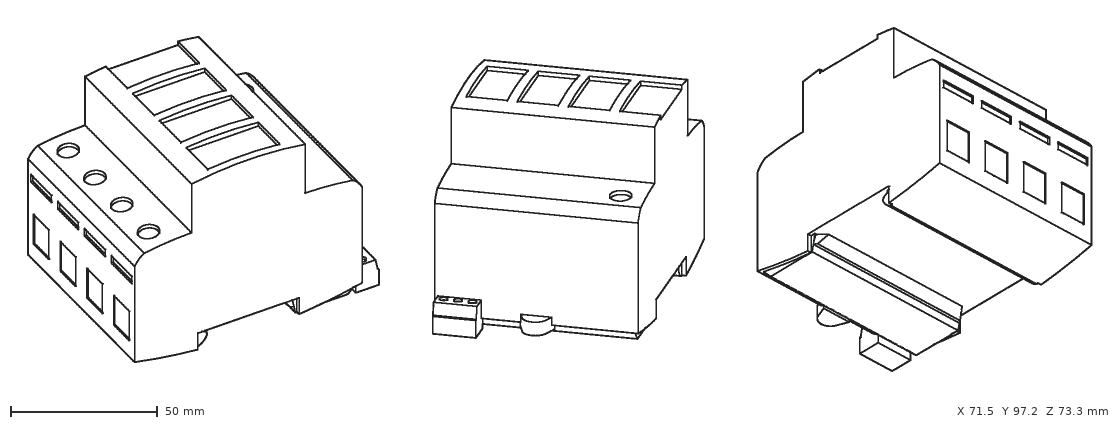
import cadquery as cq
import math

WIDTH = 71.5
DEPTH = 89.9
MID_Y = DEPTH / 2
MID_X = WIDTH / 2

FOOT_Z = 0.34
WALL_BOTTOM_Z = 4.4
WALL_TOP_Z = 44.9
SHOULDER_INSET = 3.8
SHOULDER_OUTER_Z = 49.1
SHOULDER_INNER_Z = 50.7
TOWER_EDGE_Z = 71.3
CROWN_Z = 73.3
TOWER_DEPTH = 44.9
CHANNEL_DEPTH = 39.95
CHANNEL_Z = 7.3

BOTTOM_BULGE = 0.4
BEVEL_BULGE = 0.4
SHOULDER_BULGE = 0.4

CHANNEL_FRONT_Y = MID_Y - CHANNEL_DEPTH / 2
TOWER_FRONT_Y = MID_Y - TOWER_DEPTH / 2

MODULES = 4
MODULE_PITCH = 18.0
FIRST_TERMINAL_X = MID_X - MODULE_PITCH * (MODULES - 1) / 2
TERMINAL_XS = [FIRST_TERMINAL_X + i * MODULE_PITCH for i in range(MODULES)]

SCREW_HOLE_DIAMETER = 7.6
SCREW_HOLE_DEPTH = 1.5
SCREW_HOLE_INSET = 10.7
BACK_SCREW_HOLE_INSET = 10.4

SLOT_WIDTH = 13.9
SLOT_BOTTOM_Z = 36.45
SLOT_TOP_Z = 39.5
SLOT_DEPTH = 0.8
WIRE_POCKET_WIDTH = 10.4
WIRE_POCKET_BOTTOM_Z = 11.3
WIRE_POCKET_TOP_Z = 23.7
WIRE_POCKET_DEPTH = 0.5

WINDOW_WIDTH = 14.5
WINDOW_LENGTH = 28.5
WINDOW_FLOOR_Z = 71.0
FIRST_WINDOW_X = 0

LATCH_INSET = 1.5
LATCH_WIDTH = WIDTH - 2 * LATCH_INSET

CLIP_NECK_Y = 27.4
CLIP_NECK_Z = 6.3
CLIP_NOSE_TOP = (29.3, 5.3)
CLIP_NOSE = (29.55, 4.3)
CLIP_BELLY = (27.6, 1.5)
CLIP_HEEL_Y = 25.7

LATCH_FACE_TOP_Y = 63.0
LATCH_FACE_BOTTOM_Y = 64.3
SLIDE_BOTTOM_BACK_Y = 85.05
SLIDE_BACK_Z = 3.8
HOOK_TAPER_Y = 63.7
HOOK_TIP_Y = 59.3
HOOK_TIP_Z = 6.4
HOOK_CREST = (61.8, 6.9)
HOOK_CHIN = (62.5, 3.1)
HOOK_ROOT_Z = 3.2
HOOK_ROOT_Y = 64.6
HOOK_TAPER = 2.9

TAB_BOTTOM_Z = 2.3
TAB_TOP_Z = CHANNEL_Z
TAB_ROOT_Y = 88.4
TAB_SHOULDER_Y = 93.3
TAB_TIP_Y = 95.8
TAB_ROOT_HALF_WIDTH = 6.0
TAB_SHOULDER_HALF_WIDTH = 4.1

CONNECTOR_WIDTH = 15.3
CONNECTOR_X = TERMINAL_XS[-1]
CONNECTOR_FRONT_Y = 88.1
CONNECTOR_BACK_Y = 97.2
CONNECTOR_TOP_BACK_Y = 95.8
CONNECTOR_TOP_Z = 11.1
CONNECTOR_SLOPE_Z = 6.7
CONNECTOR_LEDGE_Z = 6.4
CONNECTOR_LEDGE = 0.4
CONNECTOR_HOLE_DIAMETER = 2.9
CONNECTOR_HOLES = 3
CONNECTOR_HOLE_PITCH = 5.1
CONNECTOR_HOLE_Y = 92.0
CONNECTOR_HOLE_DEPTH = 1.0


def bowed_point(start, end, bulge):
    """Middle of a shallow arc that bows to the left of the line from start to end."""
    dy = end[0] - start[0]
    dz = end[1] - start[1]
    length = math.hypot(dy, dz)
    middle_y = (start[0] + end[0]) / 2
    middle_z = (start[1] + end[1]) / 2
    return (middle_y - bulge * dz / length, middle_z + bulge * dy / length)


def box_between(x_range, y_range, z_range):
    """Axis-aligned box from its lower and upper limits on each axis."""
    corner = (x_range[0], y_range[0], z_range[0])
    sizes = [r[1] - r[0] for r in (x_range, y_range, z_range)]
    return cq.Workplane("XY").box(*sizes, centered=False).translate(corner)


def extruded_side_profile(points, x_start, width):
    """Straight-sided YZ outline extruded along +X."""
    return cq.Workplane("YZ").workplane(offset=x_start).polyline(points).close().extrude(width)


def make_housing():
    foot = (CHANNEL_FRONT_Y, FOOT_Z)
    wall_bottom = (0, WALL_BOTTOM_Z)
    wall_top = (0, WALL_TOP_Z)
    shoulder_outer = (SHOULDER_INSET, SHOULDER_OUTER_Z)
    shoulder_inner = (TOWER_FRONT_Y, SHOULDER_INNER_Z)
    front_half = (
        cq.Workplane("YZ")
        .moveTo(MID_Y, CHANNEL_Z)
        .lineTo(CHANNEL_FRONT_Y, CHANNEL_Z)
        .lineTo(*foot)
        .threePointArc(bowed_point(foot, wall_bottom, BOTTOM_BULGE), wall_bottom)
        .lineTo(*wall_top)
        .threePointArc(bowed_point(wall_top, shoulder_outer, BEVEL_BULGE), shoulder_outer)
        .threePointArc(bowed_point(shoulder_outer, shoulder_inner, SHOULDER_BULGE), shoulder_inner)
        .lineTo(TOWER_FRONT_Y, TOWER_EDGE_Z)
        .lineTo(MID_Y, TOWER_EDGE_Z)
        .close()
        .extrude(WIDTH)
    )
    crown = (
        cq.Workplane("YZ")
        .moveTo(TOWER_FRONT_Y, TOWER_EDGE_Z)
        .threePointArc((MID_Y, CROWN_Z), (TOWER_FRONT_Y + TOWER_DEPTH, TOWER_EDGE_Z))
        .close()
        .extrude(WIDTH)
    )
    back_half = front_half.mirror("XZ", (0, MID_Y, 0))
    return front_half.union(back_half).union(crown)


def make_screw_holes(housing_body):
    """Holes whose floors follow the curve of the shoulder above them."""
    front = [(x, SCREW_HOLE_INSET) for x in TERMINAL_XS]
    back = [(FIRST_TERMINAL_X, DEPTH - BACK_SCREW_HOLE_INSET)]
    bores = (
        cq.Workplane("XY", origin=(0, 0, WALL_TOP_Z))
        .pushPoints(front + back)
        .circle(SCREW_HOLE_DIAMETER / 2)
        .extrude(SHOULDER_INNER_Z - WALL_TOP_Z)
    )
    return bores.cut(housing_body.translate((0, 0, -SCREW_HOLE_DEPTH)))


def make_front_pocket(x, width, depth, z_range):
    return box_between((x - width / 2, x + width / 2), (0, depth), z_range)


def make_window(index):
    start = FIRST_WINDOW_X + index * MODULE_PITCH
    y_range = (MID_Y - WINDOW_LENGTH / 2, MID_Y + WINDOW_LENGTH / 2)
    return box_between((start, start + WINDOW_WIDTH), y_range, (WINDOW_FLOOR_Z, CROWN_Z))


def make_rail_clip():
    return (
        cq.Workplane("YZ")
        .workplane(offset=LATCH_INSET)
        .moveTo(CHANNEL_FRONT_Y, CHANNEL_Z)
        .lineTo(CLIP_NECK_Y, CHANNEL_Z)
        .lineTo(CLIP_NECK_Y, CLIP_NECK_Z)
        .lineTo(*CLIP_NOSE_TOP)
        .lineTo(*CLIP_NOSE)
        .threePointArc(CLIP_BELLY, (CLIP_HEEL_Y, FOOT_Z))
        .lineTo(CHANNEL_FRONT_Y, FOOT_Z)
        .close()
        .extrude(LATCH_WIDTH)
    )


def make_latch():
    slide = extruded_side_profile(
        [
            (LATCH_FACE_TOP_Y, CHANNEL_Z),
            (LATCH_FACE_BOTTOM_Y, FOOT_Z),
            (SLIDE_BOTTOM_BACK_Y, FOOT_Z),
            (TAB_ROOT_Y, SLIDE_BACK_Z),
            (TAB_ROOT_Y, CHANNEL_Z),
        ],
        LATCH_INSET,
        LATCH_WIDTH,
    )
    hook = extruded_side_profile(
        [
            (HOOK_ROOT_Y, CHANNEL_Z),
            HOOK_CREST,
            (HOOK_TIP_Y, HOOK_TIP_Z),
            HOOK_CHIN,
            (HOOK_ROOT_Y, HOOK_ROOT_Z),
        ],
        LATCH_INSET,
        LATCH_WIDTH,
    )
    hook_plan = (
        cq.Workplane("XY", origin=(MID_X, 0, 0))
        .moveTo(-LATCH_WIDTH / 2, HOOK_ROOT_Y)
        .lineTo(-LATCH_WIDTH / 2, HOOK_TAPER_Y)
        .lineTo(-LATCH_WIDTH / 2 + HOOK_TAPER, HOOK_TIP_Y)
        .lineTo(LATCH_WIDTH / 2 - HOOK_TAPER, HOOK_TIP_Y)
        .lineTo(LATCH_WIDTH / 2, HOOK_TAPER_Y)
        .lineTo(LATCH_WIDTH / 2, HOOK_ROOT_Y)
        .close()
        .extrude(CHANNEL_Z)
    )
    return slide.union(hook.intersect(hook_plan))


def make_finger_tab():
    return (
        cq.Workplane("XY", origin=(MID_X, 0, TAB_BOTTOM_Z))
        .moveTo(-TAB_ROOT_HALF_WIDTH, TAB_ROOT_Y)
        .lineTo(-TAB_SHOULDER_HALF_WIDTH, TAB_SHOULDER_Y)
        .threePointArc((0, TAB_TIP_Y), (TAB_SHOULDER_HALF_WIDTH, TAB_SHOULDER_Y))
        .lineTo(TAB_ROOT_HALF_WIDTH, TAB_ROOT_Y)
        .close()
        .extrude(TAB_TOP_Z - TAB_BOTTOM_Z)
    )


def make_connector():
    block = extruded_side_profile(
        [
            (CONNECTOR_FRONT_Y, 0),
            (CONNECTOR_BACK_Y, 0),
            (CONNECTOR_BACK_Y, CONNECTOR_LEDGE_Z),
            (CONNECTOR_BACK_Y - CONNECTOR_LEDGE, CONNECTOR_SLOPE_Z),
            (CONNECTOR_TOP_BACK_Y, CONNECTOR_TOP_Z),
            (CONNECTOR_FRONT_Y, CONNECTOR_TOP_Z),
        ],
        CONNECTOR_X - CONNECTOR_WIDTH / 2,
        CONNECTOR_WIDTH,
    )
    holes = (
        cq.Workplane("XY", origin=(CONNECTOR_X, CONNECTOR_HOLE_Y, CONNECTOR_TOP_Z))
        .rarray(CONNECTOR_HOLE_PITCH, 1, CONNECTOR_HOLES, 1)
        .circle(CONNECTOR_HOLE_DIAMETER / 2)
        .extrude(-CONNECTOR_HOLE_DEPTH)
    )
    return block.cut(holes)


housing = make_housing()
housing = housing.cut(make_screw_holes(housing))
for module, terminal_x in enumerate(TERMINAL_XS):
    slot = make_front_pocket(terminal_x, SLOT_WIDTH, SLOT_DEPTH, (SLOT_BOTTOM_Z, SLOT_TOP_Z))
    wire_pocket = make_front_pocket(
        terminal_x, WIRE_POCKET_WIDTH, WIRE_POCKET_DEPTH, (WIRE_POCKET_BOTTOM_Z, WIRE_POCKET_TOP_Z)
    )
    housing = housing.cut(slot).cut(wire_pocket).cut(make_window(module))

result = housing.union(make_rail_clip()).union(make_latch()).union(make_finger_tab()).union(make_connector())